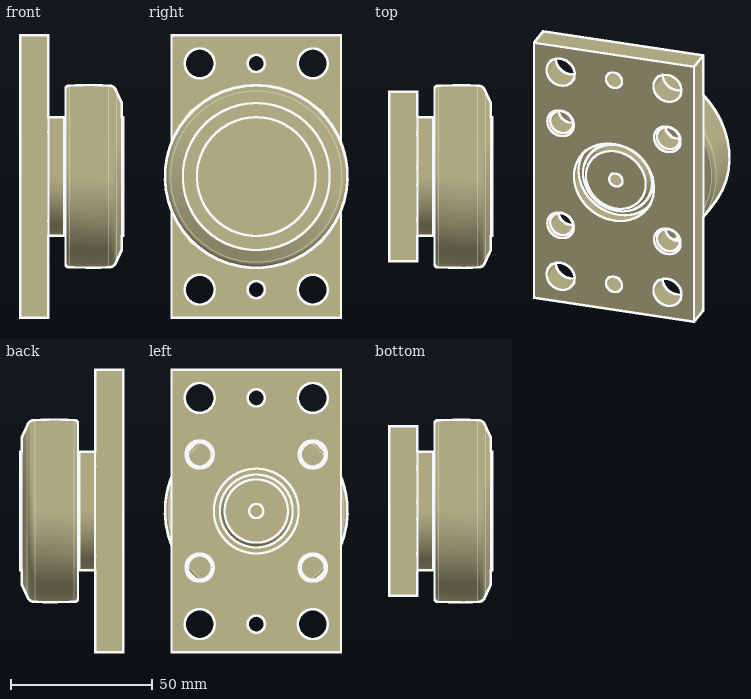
import cadquery as cq
import math

plate_thickness = 10
plate_width = 60
plate_height = 100

mount_hole_diameter = 10.5
dowel_hole_diameter = 6
hole_inset = 10
row_height = plate_height / 2 - hole_inset
column_offset = plate_width / 2 - hole_inset

screw_hole_diameter = 8.5
countersink_diameter = 10
countersink_depth = 1
screw_offset = 20

neck_radius = 21
neck_chamfer = 0.5

roller_start = 16
roller_end = 36
hub_end = 36.5
hub_radius = 21
rim_start = 17.4
rim_end = 31.2
crown_radius = 32.4
rim_edge_radius = 32.2
inner_edge_rounding = 1.2
taper_start = 34
taper_outer_radius = 30.3
taper_inner_radius = 26
shoulder_mid_x = 33
shoulder_mid_radius = 31.7

pocket_radius = 15
pocket_depth = 5
pin_radius = 12.9
pin_recess = 2
pin_chamfer = 1.7
center_hole_diameter = 5
center_hole_depth = 10


def axial_cylinder(radius, start, end, y=0, z=0):
    """Cylinder along X between two X positions."""
    return cq.Workplane("YZ", origin=(start, y, z)).circle(radius).extrude(end - start)


def make_plate():
    """Drilled mounting plate."""
    plate = cq.Workplane("XY").box(
        plate_thickness, plate_width, plate_height, centered=(False, True, True)
    )
    for z in (-row_height, row_height):
        for y in (-column_offset, column_offset):
            plate = plate.cut(axial_cylinder(mount_hole_diameter / 2, 0, plate_thickness, y, z))
        plate = plate.cut(axial_cylinder(dowel_hole_diameter / 2, 0, plate_thickness, 0, z))
    for z in (-screw_offset, screw_offset):
        for y in (-screw_offset, screw_offset):
            plate = plate.cut(make_screw_hole(y, z))
    return plate


def make_screw_hole(y, z):
    """Cutter for a through hole with a conical countersink at the back face."""
    hole = axial_cylinder(screw_hole_diameter / 2, 0, plate_thickness, y, z)
    sink = (
        cq.Workplane("YZ", origin=(0, y, z))
        .circle(countersink_diameter / 2)
        .workplane(offset=countersink_depth)
        .circle(screw_hole_diameter / 2)
        .loft()
    )
    return hole.union(sink)


def make_roller():
    """Neck, crowned roller and hub, revolved about the X axis."""
    rounding_middle = (
        rim_start - (rim_start - roller_start) * math.sqrt(0.5),
        rim_edge_radius - inner_edge_rounding * (1 - math.sqrt(0.5)),
    )
    profile = (
        cq.Workplane("XZ")
        .moveTo(plate_thickness, 0)
        .lineTo(plate_thickness, neck_radius)
        .lineTo(roller_start - neck_chamfer, neck_radius)
        .lineTo(roller_start, neck_radius - neck_chamfer)
        .lineTo(roller_start, rim_edge_radius - inner_edge_rounding)
        .threePointArc(rounding_middle, (rim_start, rim_edge_radius))
        .threePointArc(((rim_start + rim_end) / 2, crown_radius), (rim_end, rim_edge_radius))
        .threePointArc((shoulder_mid_x, shoulder_mid_radius), (taper_start, taper_outer_radius))
        .lineTo(roller_end, taper_inner_radius)
        .lineTo(roller_end, hub_radius)
        .lineTo(hub_end, hub_radius)
        .lineTo(hub_end, 0)
        .close()
    )
    return profile.revolve(360, (0, 0, 0), (1, 0, 0))


def make_pin():
    """Chamfered pin end standing on the pocket floor."""
    return axial_cylinder(pin_radius, pin_recess, pocket_depth).faces("<X").chamfer(pin_chamfer)


result = make_plate().union(make_roller())
result = result.cut(axial_cylinder(pocket_radius, 0, pocket_depth)).union(make_pin())
result = result.cut(
    axial_cylinder(center_hole_diameter / 2, pin_recess, pin_recess + center_hole_depth)
)